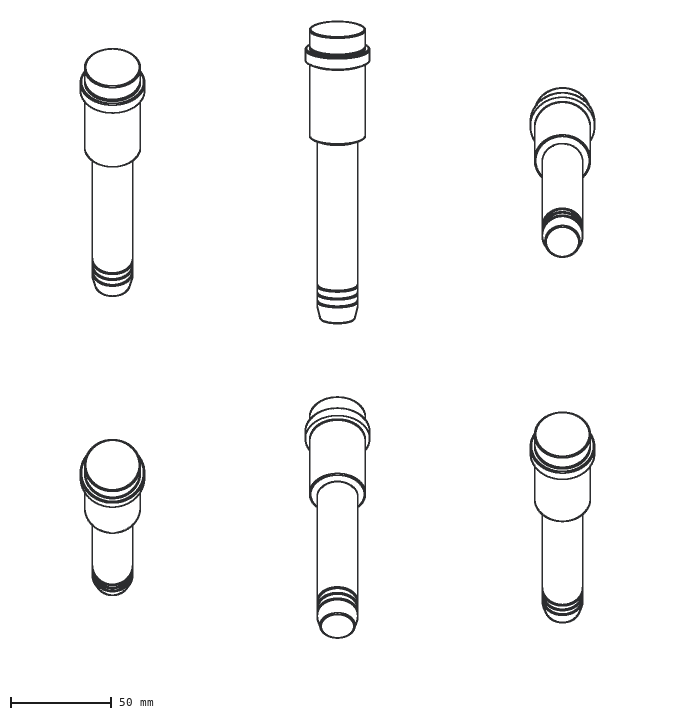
import cadquery as cq

total_height = 150.0
body_bottom = 94.2
flange_bottom = 134.0
flange_top = 140.0

flange_radius = 15.98
body_radius = 13.88
pin_radius = 10.0
tip_radius = 8.7

body_chamfer = 0.6
flange_chamfer = 0.6
relief_width = 1.0
relief_depth = 0.3
pin_neck_depth = 1.0
pin_neck_height = 1.4

taper_height = 6.3
tip_chamfer = 0.6
groove_width = 0.8
groove_depth = 0.3
groove_spacing = 4.0
lowest_groove_bottom = 8.8
groove_count = 3


def cylinder(radius, bottom, top):
    return cq.Workplane("XY").workplane(offset=bottom).circle(radius).extrude(top - bottom)


def ring_groove(radius, bottom, width, depth):
    outer = cylinder(radius + depth, bottom, bottom + width)
    return outer.cut(cylinder(radius - depth, bottom, bottom + width))


def make_pin():
    """Revolve the pin with its tapered tip and the sloped neck below the body."""
    neck_radius = pin_radius - pin_neck_depth
    profile = (
        cq.Workplane("XZ")
        .lineTo(tip_radius - tip_chamfer, 0)
        .lineTo(tip_radius, tip_chamfer)
        .lineTo(pin_radius, taper_height)
        .lineTo(pin_radius, body_bottom - pin_neck_height)
        .lineTo(neck_radius, body_bottom)
        .lineTo(0, body_bottom)
        .close()
    )
    pin = profile.revolve(360, (0, 0, 0), (0, 1, 0))
    for index in range(groove_count):
        bottom = lowest_groove_bottom + index * groove_spacing
        pin = pin.cut(ring_groove(pin_radius, bottom, groove_width, groove_depth))
    return pin


def sloped_relief(bottom):
    """Return a ring whose lower wall is a cone and whose upper wall is flat."""
    top = bottom + relief_width
    neck_radius = body_radius - relief_depth
    profile = (
        cq.Workplane("XZ")
        .moveTo(body_radius, bottom)
        .lineTo(body_radius, top)
        .lineTo(neck_radius, top)
        .lineTo(neck_radius, bottom + relief_depth)
        .close()
    )
    return profile.revolve(360, (0, 0, 0), (0, 1, 0))


def make_body():
    """Build the chamfered body with a shallow relief on each side of the flange."""
    body = cylinder(body_radius, body_bottom, total_height).edges().chamfer(body_chamfer)
    for bottom in (flange_bottom - relief_width, flange_top):
        body = body.cut(sloped_relief(bottom))
    return body


def make_flange():
    flange = cylinder(flange_radius, flange_bottom, flange_top)
    return flange.faces(">Z").edges().chamfer(flange_chamfer)


result = make_pin().union(make_body()).union(make_flange())